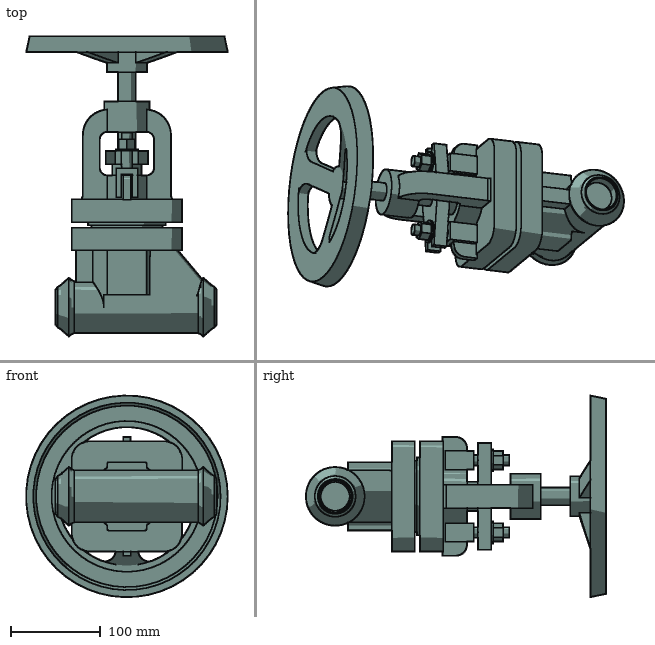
import cadquery as cq
import math


pipe_radius = 29.0
pipe_left = -79.7
pipe_right = 100.0
end_radius = 19.5
collar_radius = 32.8
collar_position = 15.0
collar_back_radius = 30.5
collar_back_position = 17.8
collar_length = 20.8
lead_in_radius = 22.8
lead_in_position = 2.7
taper_start_radius = 24.8
taper_start_position = 6.0
recess_mouth_radius = 18.0
recess_floor_radius = 16.0
recess_depth = 10.0

neck_radius = 39.0
neck_bottom = 14.0
pad_half_width = 22.0
pad_height = 38.2
pad_edge_radius = 2.5
pad_base_fillet = 2.7
branch_angle = 50
branch_foot_x = 72.0
web_left = -57.0
web_thickness = 16.8

flange_side = 123.3
flange_corner = 20.5
body_flange_bottom = 63.3
body_flange_top = 88.8
bonnet_flange_bottom = 94.5
bonnet_flange_top = 120.5
gasket_radius = 43.5
gasket_seat_radius = 40.0
gasket_bottom = 91.0

yoke_half_width = 49.2
yoke_thickness = 26.0
yoke_top = 220.5
yoke_corner = 28.5
yoke_foot_flare = 1.5
yoke_foot_height = 3.5
window_half_width = 30.0
window_corner = 8.5
boss_radius = 25.5
bonnet_boss_top = 147.0
stem_boss_bottom = 195.3
stem_boss_top = 229.5

gland_radius = 16.5
gland_plate_bottom = 159.0
gland_plate_top = 174.2
gland_plate_half_width = 23.8
gland_plate_end_half_width = 12.7
gland_plate_half_length = 59.5
bolt_offset = 40.2
bolt_radius = 6.0
bolt_slot_width = 12.5
bolt_top = 194.3
washer_radius = 12.5
washer_top = 176.2
nut_across_corners = 20.8
nut_top = 187.3
clevis_width = 24.0
clevis_length = 20.8
clevis_bottom = 122.5
clevis_slot_top = 148.0
clevis_top = 154.8
lug_half_length = 66.3
lug_thickness = 8.5
lug_bottom = 119.5
lug_corner = 12.7
lug_fillet = 8.5

stem_radius = 10.0
wheel_radius = 112.5
wheel_back_radius = 109.0
wheel_front = 284.5
wheel_back = 302.2
rim_inner_radius = 104.5
floor_outer_radius = 101.2
floor_front = 295.8
lip_radius = 84.0
lip_front = 290.5
opening_radius = 77.0
hub_radius = 22.5
hub_front = 262.0
hub_back = 286.5
spoke_count = 3
spoke_width = 25.5
spoke_fillet = 11.7
spoke_hub_front = 272.5
spoke_rim_front = lip_front
spoke_embed = 1.7


def rod(radius, bottom, top):
    """Cylinder about the stem axis between two heights along Y."""
    return cq.Workplane("XZ", origin=(0, bottom, 0)).circle(radius).extrude(bottom - top)


def block(x_range, y_range, depth):
    """Box spanning two ranges, centred on Z = 0."""
    (x0, x1), (y0, y1) = x_range, y_range
    centre = ((x0 + x1) / 2, (y0 + y1) / 2, 0)
    return cq.Workplane("XY").box(x1 - x0, y1 - y0, depth).translate(centre)


def stem_direction_edges(solid, distance):
    """Edges parallel to the stem that lie at the given distance either side of Z = 0."""
    return solid.edges("|Y").filter(lambda edge: math.isclose(abs(edge.Center().z), distance, rel_tol=1e-3))


def pipe():
    """Straight pipe with a tapered welding collar at each end."""
    collar = [
        (0, end_radius),
        (lead_in_position, lead_in_radius),
        (taper_start_position, taper_start_radius),
        (collar_position, collar_radius),
        (collar_back_position, collar_back_radius),
        (collar_length, pipe_radius),
    ]
    left = [(pipe_left + step, radius) for step, radius in collar]
    right = [(pipe_right - step, radius) for step, radius in reversed(collar)]
    outline = [(pipe_left, 0)] + left + right + [(pipe_right, 0)]
    return cq.Workplane("XY").polyline(outline).close().revolve(360, (0, 0, 0), (1, 0, 0))


def end_recess(end_x, direction):
    """Shallow round pocket, narrowing inwards, in one end face of the pipe."""
    floor_x = end_x + direction * recess_depth
    outline = [(end_x, 0), (end_x, recess_mouth_radius), (floor_x, recess_floor_radius), (floor_x, 0)]
    return cq.Workplane("XY").polyline(outline).close().revolve(360, (0, 0, 0), (1, 0, 0))


def neck():
    """Neck along the stem with a raised flat pad on its two Z faces."""
    pads = block((-pad_half_width, pad_half_width), (neck_bottom, body_flange_bottom), 2 * pad_height)
    pads = pads.edges("|Y").fillet(pad_edge_radius)
    upper = rod(neck_radius, neck_bottom, body_flange_bottom)
    upper = upper.intersect(block((-neck_radius, neck_radius), (0, body_flange_bottom), 2 * pad_height))
    lower = rod(neck_radius, 0, body_flange_bottom)
    lower = lower.intersect(block((-neck_radius, neck_radius), (0, body_flange_bottom), 2 * pipe_radius))
    upper = upper.union(pads)
    base_z = math.sqrt(neck_radius**2 - pad_half_width**2)
    return stem_direction_edges(upper, base_z).fillet(pad_base_fillet).union(lower)


def branch():
    """Slanted passage from the pipe up to the flange, with a flat-sided fill beneath it."""
    angle = math.radians(branch_angle)
    direction = (-math.cos(angle), math.sin(angle), 0)
    plane = cq.Plane(origin=(branch_foot_x, 0, 0), xDir=(0, 0, 1), normal=direction)
    length = 2 * body_flange_bottom / math.sin(angle)
    top_x = branch_foot_x - body_flange_bottom / math.tan(angle)
    passage = cq.Workplane(plane).circle(pipe_radius).extrude(length)
    passage = passage.intersect(
        block((0, pipe_right), (-pipe_radius, body_flange_bottom), 2 * pipe_radius)
    )
    fill = (
        cq.Workplane("XY")
        .polyline([(0, 0), (branch_foot_x, 0), (top_x, body_flange_bottom), (0, body_flange_bottom)])
        .close()
        .extrude(pipe_radius, both=True)
    )
    return passage.union(fill)


def flange(bottom, top):
    """Square flange with rounded corners."""
    half = flange_side / 2
    return block((-half, half), (bottom, top), flange_side).edges("|Y").fillet(flange_corner)


def gasket():
    """Stepped ring that joins the two flanges."""
    seat = rod(gasket_seat_radius, body_flange_top, gasket_bottom)
    return seat.union(rod(gasket_radius, gasket_bottom, bonnet_flange_bottom))


def yoke():
    """Arched frame with a window, between the bonnet boss and the stem boss."""
    frame = block((-yoke_half_width, yoke_half_width), (bonnet_flange_top, yoke_top), yoke_thickness)
    frame = frame.edges("|Z and >Y").fillet(yoke_corner)
    foot_half = yoke_half_width + yoke_foot_flare
    foot_top = bonnet_flange_top + yoke_foot_height
    foot = (
        cq.Workplane("XY")
        .polyline([
            (-foot_half, bonnet_flange_top),
            (foot_half, bonnet_flange_top),
            (yoke_half_width, foot_top),
            (-yoke_half_width, foot_top),
        ])
        .close()
        .extrude(yoke_thickness / 2, both=True)
    )
    window = block(
        (-window_half_width, window_half_width), (bonnet_boss_top, stem_boss_bottom), yoke_thickness
    )
    window = window.edges("|Z").fillet(window_corner)
    frame = frame.union(foot).cut(window)
    return frame.union(rod(boss_radius, stem_boss_bottom, stem_boss_top))


def bonnet_boss():
    """Round boss blended into the thin plate across it that carries both hinged bolts."""
    plate = block(
        (-lug_thickness / 2, lug_thickness / 2), (lug_bottom, bonnet_boss_top), 2 * lug_half_length
    )
    plate = plate.edges("|X and >Y").fillet(lug_corner)
    boss = plate.union(rod(boss_radius, lug_bottom, bonnet_boss_top))
    joint_z = math.sqrt(boss_radius**2 - (lug_thickness / 2) ** 2)
    return stem_direction_edges(boss, joint_z).fillet(lug_fillet)


def gland_plate():
    """Plate tapering to both ends, with an open slot for a bolt in each end."""
    outline = [
        (gland_plate_half_width, 0),
        (gland_plate_end_half_width, gland_plate_half_length),
        (-gland_plate_end_half_width, gland_plate_half_length),
        (-gland_plate_half_width, 0),
        (-gland_plate_end_half_width, -gland_plate_half_length),
        (gland_plate_end_half_width, -gland_plate_half_length),
    ]
    plane = cq.Workplane("XZ", origin=(0, gland_plate_bottom, 0))
    plate = plane.polyline(outline).close().extrude(gland_plate_bottom - gland_plate_top)
    slot_length = gland_plate_half_length - bolt_offset
    slots = (
        plane.pushPoints([(0, side * (bolt_offset + slot_length / 2)) for side in (-1, 1)])
        .rect(bolt_slot_width, slot_length)
        .extrude(gland_plate_bottom - gland_plate_top)
    )
    return plate.cut(slots)


def hinged_bolt():
    """Clevis over the lug, with its bolt, washer and hexagon nut, on the stem axis."""
    clevis = block((-clevis_width / 2, clevis_width / 2), (clevis_bottom, clevis_top), clevis_length)
    slot_x = (-bolt_slot_width / 2, bolt_slot_width / 2)
    clevis = clevis.cut(block(slot_x, (clevis_bottom, clevis_slot_top), clevis_length))
    nut = (
        cq.Workplane("XZ", origin=(0, washer_top, 0))
        .polygon(6, nut_across_corners)
        .extrude(washer_top - nut_top)
        .rotate((0, 0, 0), (0, 1, 0), 90)
    )
    bolt = rod(bolt_radius, clevis_slot_top, bolt_top)
    washer = rod(washer_radius, gland_plate_top, washer_top)
    return clevis.union(bolt).union(washer).union(nut)


def wheel_rim():
    """Rim with a recessed floor and a low lip around the opening."""
    profile = [
        (opening_radius, wheel_back),
        (wheel_back_radius, wheel_back),
        (wheel_radius, wheel_front),
        (rim_inner_radius, wheel_front),
        (floor_outer_radius, floor_front),
        (lip_radius, floor_front),
        (lip_radius, lip_front),
        (opening_radius, lip_front),
    ]
    return cq.Workplane("XY").polyline(profile).close().revolve(360, (0, 0, 0), (0, 1, 0))


def spokes():
    """Conical web cut by windows whose outer corners are rounded, leaving the spokes."""
    web_profile = [
        (0, hub_back),
        (hub_radius, hub_back),
        (opening_radius, wheel_back),
        (opening_radius + spoke_embed, wheel_back),
        (opening_radius + spoke_embed, spoke_rim_front),
        (opening_radius, spoke_rim_front),
        (hub_radius, spoke_hub_front),
        (0, spoke_hub_front),
    ]
    web = cq.Workplane("XY").polyline(web_profile).close().revolve(360, (0, 0, 0), (0, 1, 0))
    windows = rod(opening_radius, hub_front, wheel_back)
    arm = cq.Workplane("XY").box(spoke_width, 2 * wheel_back, wheel_radius)
    arm = arm.translate((0, 0, -wheel_radius / 2))
    for index in range(spoke_count):
        windows = windows.cut(arm.rotate((0, 0, 0), (0, 1, 0), index * 360 / spoke_count))
    corners = windows.edges("|Y").filter(
        lambda edge: math.hypot(edge.Center().x, edge.Center().z) > hub_radius
    )
    return web.cut(corners.fillet(spoke_fillet))


body = pipe().union(neck()).union(branch())
body = body.union(block((web_left, 0), (0, body_flange_bottom), web_thickness))
body = body.cut(end_recess(pipe_left, 1)).cut(end_recess(pipe_right, -1))

bonnet = flange(body_flange_bottom, body_flange_top).union(gasket())
bonnet = bonnet.union(flange(bonnet_flange_bottom, bonnet_flange_top)).union(yoke()).union(bonnet_boss())

gland = rod(gland_radius, bonnet_boss_top, gland_plate_bottom).union(gland_plate())
for side in (-1, 1):
    gland = gland.union(hinged_bolt().translate((0, 0, side * bolt_offset)))

handwheel = wheel_rim().union(spokes()).union(rod(hub_radius, hub_front, hub_back))
stem = rod(stem_radius, bonnet_boss_top, hub_back)

result = body.union(bonnet).union(gland).union(stem).union(handwheel)